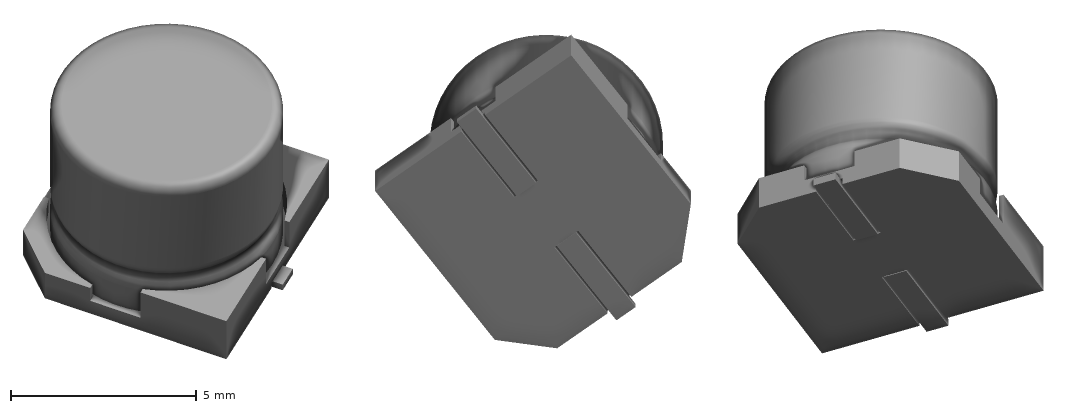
import cadquery as cq
import math

base_width = 6.6
corner_chamfer = 1.2
low_wall_height = 1.0
high_wall_height = 1.5
floor_height = 0.5
notch_width = 1.5

can_diameter = 6.3
can_top = 5.4
can_top_fillet = 0.3
can_clearance = 0.1

groove_centre = 1.8
groove_depth = 0.15
groove_root_radius = 0.3
groove_shoulder_radius = 0.5

lead_span = 7.2
lead_gap = 1.8
lead_width = 0.65
lead_standoff = 0.02
channel_width = 0.8
channel_depth = 0.2

can_radius = can_diameter / 2
well_radius = can_radius + can_clearance
lead_thickness = channel_depth + lead_standoff


def box_from(x_min, x_length, y_length, z_min, height):
    """Box starting at x_min and z_min, centred on Y."""
    box = cq.Workplane("XY").box(x_length, y_length, height, centered=(False, True, False))
    return box.translate((x_min, 0, z_min))


def make_base():
    base = cq.Workplane("XY").box(base_width, base_width, high_wall_height, centered=(True, True, False))
    base = base.edges("|Z and <X").chamfer(corner_chamfer)

    wall_step = high_wall_height - low_wall_height
    base = base.cut(box_from(-base_width / 2, base_width / 2, base_width, low_wall_height, wall_step))

    wall_height = high_wall_height - floor_height
    floor = cq.Workplane("XY").workplane(offset=floor_height)
    base = base.cut(floor.circle(well_radius).extrude(wall_height))
    base = base.cut(floor.rect(base_width, notch_width).extrude(wall_height))
    base = base.cut(floor.rect(notch_width, base_width).extrude(wall_height))

    channel_length = (base_width - lead_gap) / 2
    for x_min in (-base_width / 2, lead_gap / 2):
        base = base.cut(box_from(x_min, channel_length, channel_width, 0, channel_depth))
    return base


def make_can():
    radius_sum = groove_root_radius + groove_shoulder_radius
    arc_angle = math.acos(1 - groove_depth / radius_sum)
    groove_half_height = radius_sum * math.sin(arc_angle)
    root_half_height = groove_root_radius * math.sin(arc_angle)
    root_edge = can_radius - groove_shoulder_radius * (1 - math.cos(arc_angle))
    shoulder_middle = can_radius - groove_shoulder_radius * (1 - math.cos(arc_angle / 2))
    shoulder_rise = groove_shoulder_radius * math.sin(arc_angle / 2)
    groove_bottom = groove_centre - groove_half_height
    groove_top = groove_centre + groove_half_height

    profile = (
        cq.Workplane("XZ")
        .moveTo(0, floor_height)
        .lineTo(can_radius, floor_height)
        .lineTo(can_radius, groove_bottom)
        .threePointArc(
            (shoulder_middle, groove_bottom + shoulder_rise),
            (root_edge, groove_centre - root_half_height),
        )
        .threePointArc(
            (can_radius - groove_depth, groove_centre),
            (root_edge, groove_centre + root_half_height),
        )
        .threePointArc(
            (shoulder_middle, groove_top - shoulder_rise),
            (can_radius, groove_top),
        )
        .lineTo(can_radius, can_top)
        .lineTo(0, can_top)
        .close()
    )
    can = profile.revolve(360, (0, 0, 0), (0, 1, 0))
    return can.faces(">Z").edges().fillet(can_top_fillet)


def make_leads():
    lead_length = (lead_span - lead_gap) / 2
    left = box_from(-lead_span / 2, lead_length, lead_width, -lead_standoff, lead_thickness)
    right = box_from(lead_gap / 2, lead_length, lead_width, -lead_standoff, lead_thickness)
    return left.union(right)


result = make_base().union(make_can()).union(make_leads())